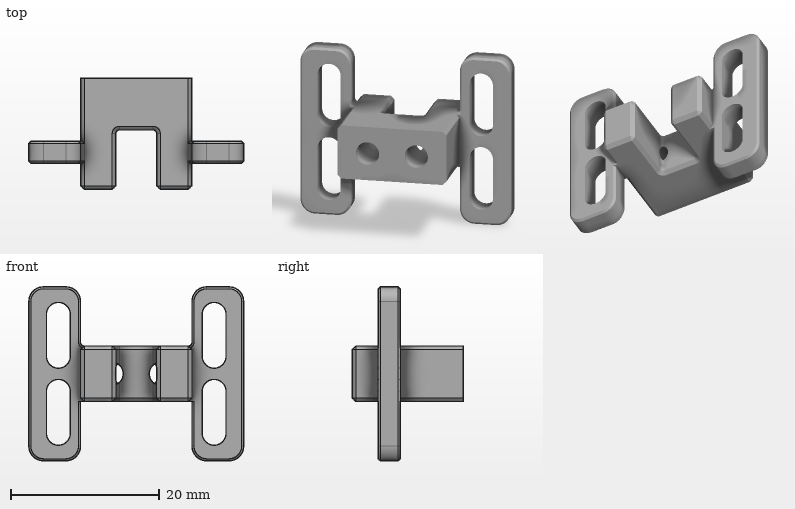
import cadquery as cq
import math

block_width = 15.0
block_depth = 15.0
block_height = 7.5
edge_chamfer = 0.5

notch_width = 5.5
notch_depth = 8.0
notch_corner_radius = 0.5

overall_width = 29.0
plate_height = 23.5
plate_thickness = 3.0
plate_front = 3.5
plate_corner_radius = 2.0
plate_chamfer = 0.3
web_fillet = 0.5

slot_width = 3.2
slot_length = 8.85
slot_x = 10.5
slot_z = 5.2

drill_diameter = 3.2
drill_depth = 7.02
drill_x = 3.35
drill_point_angle = 118

plate_width = (overall_width - block_width) / 2
plate_x = (block_width + plate_width) / 2
plate_middle_y = plate_front + plate_thickness / 2
arm_width = (block_width - notch_width) / 2


def centred_box(width, depth, height, front_y):
    """Box centred on X and Z whose front face lies at front_y."""
    return cq.Workplane("XY").box(width, depth, height).translate((0, front_y + depth / 2, 0))


def forked_block():
    """U-shaped block with chamfered rims; its back face keeps sharp edges."""
    notch = centred_box(notch_width, notch_depth, block_height, 0)
    notch = notch.edges("|Z and >Y").fillet(notch_corner_radius)
    block = centred_box(block_width, block_depth, block_height, 0).cut(notch)
    front_rims = block.faces("<Y").edges()
    long_rims = block.faces("<Z or >Z").edges("not(>Y)")
    return block.newObject(front_rims.vals() + long_rims.vals()).chamfer(edge_chamfer)


def right_plate():
    """Slotted plate with a short web that reaches into the right arm of the block."""
    plate = centred_box(plate_width, plate_thickness, plate_height, plate_front)
    plate = plate.edges("|Y").fillet(plate_corner_radius).translate((plate_x, 0, 0))
    web_length = arm_width / 2
    web = centred_box(web_length, plate_thickness, block_height, plate_front)
    plate = plate.union(web.translate(((block_width - web_length) / 2, 0, 0)))

    web_top_corner = (block_width / 2, plate_middle_y, block_height / 2)
    plate = plate.edges(cq.selectors.NearestToPointSelector(web_top_corner)).fillet(web_fillet)

    web_underside = cq.selectors.BoxSelector(
        (0, 0, -block_height / 2 - plate_chamfer),
        (block_width / 2, block_depth, -block_height / 2 + plate_chamfer),
    )
    rims = plate.faces("<Y or >Y").edges()
    sharp_edges = rims.edges("<X").vals() + rims.edges(web_underside).vals()
    chamfered_edges = [edge for edge in rims.vals() if edge not in sharp_edges]
    plate = rims.newObject(chamfered_edges).chamfer(plate_chamfer)

    slots = (
        cq.Workplane("XZ", origin=(0, plate_middle_y, 0))
        .pushPoints([(slot_x, slot_z), (slot_x, -slot_z)])
        .slot2D(slot_length, slot_width, 90)
        .extrude(plate_thickness, both=True)
    )
    return plate.cut(slots)


def drilled_holes():
    """Drill-shaped cutters with a conical tip beyond their full-diameter depth."""
    radius = drill_diameter / 2
    point_length = radius / math.tan(math.radians(drill_point_angle / 2))
    full_diameter_end = block_depth - drill_depth
    half_profile = (
        cq.Workplane("XY")
        .moveTo(0, block_depth)
        .lineTo(radius, block_depth)
        .lineTo(radius, full_diameter_end)
        .lineTo(0, full_diameter_end - point_length)
        .close()
    )
    drill = half_profile.revolve(360, (0, 0, 0), (0, 1, 0))
    right_drill = drill.translate((drill_x, 0, 0))
    return right_drill.union(right_drill.mirror("YZ"))


plate = right_plate()
result = forked_block().union(plate).union(plate.mirror("YZ")).cut(drilled_holes())